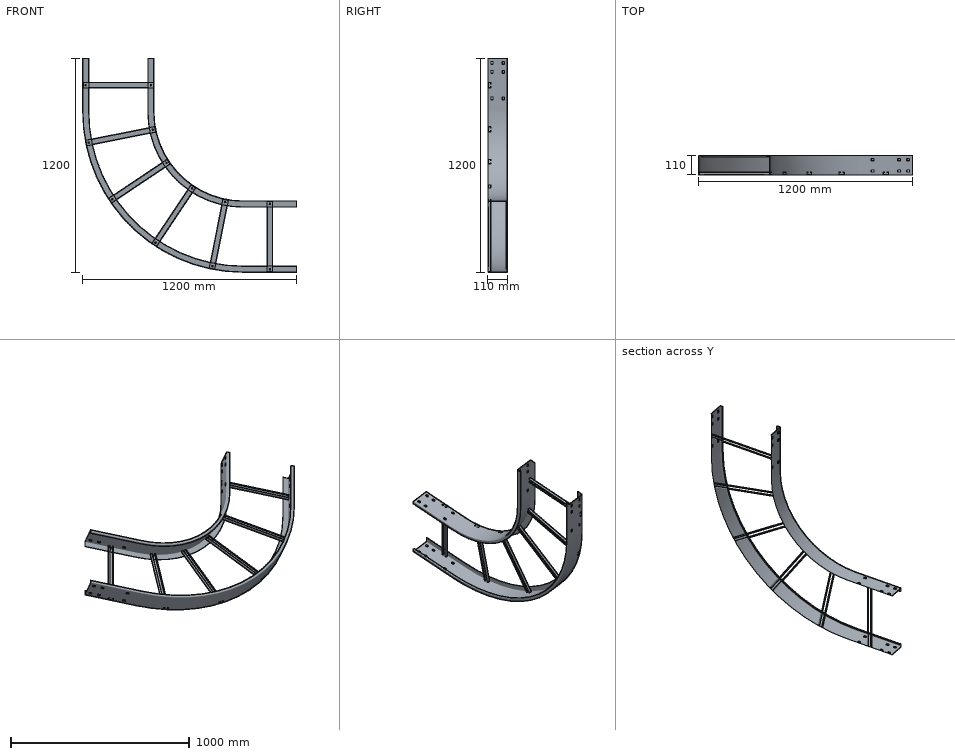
import cadquery as cq
import math

SIZE = 1200.0
STRAIGHT = 300.0
BEND_CENTRE = SIZE - STRAIGHT
TRAY_WIDTH = SIZE / 3

RAIL_DEPTH = 110.0
FRONT_FLANGE = 35.0
REAR_FLANGE = 20.0
LIP = 10.0
SHEET = 2.0
OUTER_BEND = 3.5
INNER_BEND = OUTER_BEND - SHEET
CUT_DEPTH = 3 * SHEET

SLOT_LENGTH = 15.0
SLOT_WIDTH = 10.0
SLOT_ROW_SPACING = 64.0
SLOT_FROM_END = (25.0, 75.0, 225.0)

RUNG_WIDTH = 31.0
RUNG_REAR = 17.0
RUNG_LIP = 8.0
RUNG_FROM_BEND = STRAIGHT / 2
BEND_RUNGS = 4
RUNG_STEP = 90.0 / BEND_RUNGS

HOLE_DIAMETER = 6.0
HOLE_FROM_WEB = 15.0


def bent_sheet_wire(outside, inside):
    """Closed section of a bent sheet, rounded at every bend.

    The two sides run from one free edge to the other; all their points but the first and last are bends.
    """
    points = [cq.Vector(*p) for p in outside + inside[::-1]]
    wire = cq.Wire.makePolygon(points, close=True)
    for side, radius in ((outside, OUTER_BEND), (inside, INNER_BEND)):
        bends = [cq.Vector(*p) for p in side[1:-1]]
        corners = [
            v for v in wire.Vertices()
            if any((v.Center() - b).Length < SHEET / 10 for b in bends)
        ]
        wire = wire.fillet2D(radius, corners)
    return wire


def rail_path(web):
    """Line, quarter arc and line followed by the web face that starts at X = web."""
    radius = BEND_CENTRE - web
    middle = BEND_CENTRE - radius * math.cos(math.pi / 4)
    return (
        cq.Workplane("XZ")
        .moveTo(web, SIZE)
        .lineTo(web, BEND_CENTRE)
        .threePointArc((middle, middle), (BEND_CENTRE, web))
        .lineTo(SIZE, web)
    )


def rail_section(web, side):
    """Channel section in the top end plane; its flanges point along side (+1 or -1) in X."""
    front_tip = web + side * FRONT_FLANGE
    rear_tip = web + side * REAR_FLANGE
    web_inside = web + side * SHEET
    lip_inside = rear_tip - side * SHEET
    rear_inside = RAIL_DEPTH - SHEET
    lip_end = RAIL_DEPTH - LIP
    outside = [
        (front_tip, 0, SIZE), (web, 0, SIZE), (web, RAIL_DEPTH, SIZE),
        (rear_tip, RAIL_DEPTH, SIZE), (rear_tip, lip_end, SIZE),
    ]
    inside = [
        (front_tip, SHEET, SIZE), (web_inside, SHEET, SIZE), (web_inside, rear_inside, SIZE),
        (lip_inside, rear_inside, SIZE), (lip_inside, lip_end, SIZE),
    ]
    return bent_sheet_wire(outside, inside)


def web_slots(web):
    """Cutters for the slots in both straight ends of the rail whose web starts at X = web."""
    rows = [RAIL_DEPTH / 2 + k * SLOT_ROW_SPACING / 2 for k in (-1, 1)]
    spots = [(SIZE - d, y) for d in SLOT_FROM_END for y in rows]
    along_x = (
        cq.Workplane("XY", origin=(0, 0, web))
        .pushPoints(spots)
        .rect(SLOT_LENGTH, SLOT_WIDTH)
        .extrude(CUT_DEPTH, both=True)
    )
    along_z = (
        cq.Workplane(cq.Plane(origin=(web, 0, 0), xDir=(0, 0, 1), normal=(-1, 0, 0)))
        .pushPoints(spots)
        .rect(SLOT_LENGTH, SLOT_WIDTH)
        .extrude(CUT_DEPTH, both=True)
    )
    return along_x.union(along_z)


def place_on_bend(shape):
    """Copies of a shape made for the level of the bend centre, one for each rung position."""
    centre = cq.Vector(BEND_CENTRE, 0, BEND_CENTRE)
    axis_end = centre + cq.Vector(0, -12, 0)
    copies = [shape.translate((0, 0, RUNG_FROM_BEND))]
    for k in range(BEND_RUNGS):
        copies.append(shape.rotate(centre, axis_end, (k + 0.5) * RUNG_STEP))
    copies.append(shape.rotate(centre, axis_end, 90).translate((RUNG_FROM_BEND, 0, 0)))
    return copies


def fixing_holes():
    """Cutters for the two fixing holes at each rung."""
    spots = [(x, BEND_CENTRE) for x in (HOLE_FROM_WEB, TRAY_WIDTH - HOLE_FROM_WEB)]
    pair = (
        cq.Workplane("XZ")
        .pushPoints(spots)
        .circle(HOLE_DIAMETER / 2)
        .extrude(-CUT_DEPTH)
    )
    return [hole for copy in place_on_bend(pair) for hole in copy.vals()]


def make_rail(web, side):
    """Rail with its web face at X = web and its flanges pointing along side in X."""
    section = cq.Workplane("XY").newObject([rail_section(web, side)]).toPending()
    rail = section.sweep(rail_path(web)).clean()
    rail = rail.cut(web_slots(web))
    for hole in fixing_holes():
        rail = rail.cut(cq.Workplane(hole))
    return rail


def make_rungs():
    """Separate rungs that fit between the inner bends of the two rail webs."""
    start = OUTER_BEND
    end = TRAY_WIDTH - OUTER_BEND
    low = BEND_CENTRE - RUNG_WIDTH / 2
    high = BEND_CENTRE + RUNG_WIDTH / 2
    front_inside = 2 * SHEET
    rear_inside = RUNG_REAR - SHEET
    outside = [
        (start, RUNG_REAR, low + RUNG_LIP), (start, RUNG_REAR, low), (start, SHEET, low),
        (start, SHEET, high), (start, RUNG_REAR, high), (start, RUNG_REAR, high - RUNG_LIP),
    ]
    inside = [
        (start, rear_inside, low + RUNG_LIP), (start, rear_inside, low + SHEET),
        (start, front_inside, low + SHEET), (start, front_inside, high - SHEET),
        (start, rear_inside, high - SHEET), (start, rear_inside, high - RUNG_LIP),
    ]
    face = cq.Face.makeFromWires(bent_sheet_wire(outside, inside))
    rung = cq.Workplane(cq.Solid.extrudeLinear(face, cq.Vector(end - start, 0, 0)))
    rungs = []
    for copy in place_on_bend(rung):
        for hole in fixing_holes():
            copy = copy.cut(cq.Workplane(hole))
        rungs.append(copy)
    return rungs


outer_rail = make_rail(0, 1)
inner_rail = make_rail(TRAY_WIDTH, -1)
rungs = make_rungs()

result = cq.Compound.makeCompound(
    [outer_rail.val(), inner_rail.val(), *[rung.val() for rung in rungs]]
)